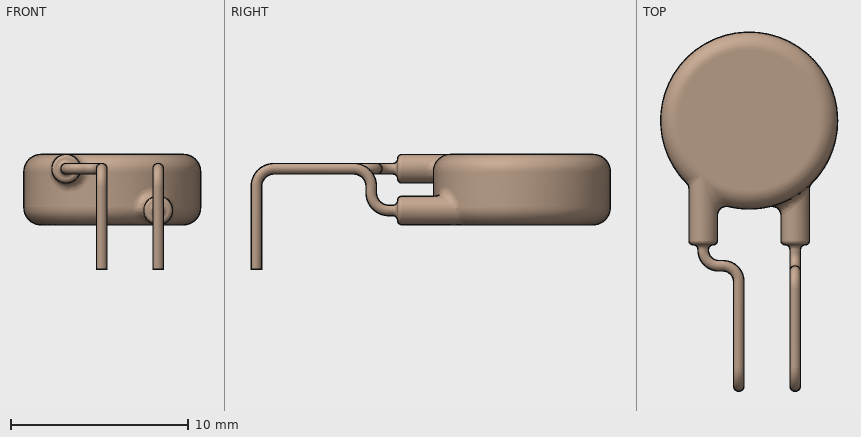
import cadquery as cq
import math

disc_diameter = 10.0
disc_height = 4.0
disc_edge_round = 1.0

sleeve_radius = 0.81
sleeve_x = 2.6
sleeve_end_y = -7.02
sleeve_end_round = 0.25
junction_round = 0.5
sleeve_inset = 0.01
sleeve_reach = sleeve_radius + sleeve_inset
upper_z = disc_height - sleeve_radius - sleeve_inset
lower_z = sleeve_radius + sleeve_inset

wire_radius = 0.3
neck_round = sleeve_radius - sleeve_end_round - wire_radius
total_length = 20.3
tip_y = disc_diameter / 2 - total_length + wire_radius
tip_z = -2.5
lead_pitch = 3.19
jog_radius = 0.9
jog_start_y = -7.3
rise_radius = 1.0
rise_start_y = -7.51
foot_radius = 1.0


def make_disc():
    disc = cq.Workplane("XY").circle(disc_diameter / 2).extrude(disc_height)
    return disc.edges().fillet(disc_edge_round)


def add_sleeve(body, x, z):
    """Join a cylinder along -Y from the disc's mid plane, with a fillet where it leaves the disc."""
    seam = cq.Vector(0, 0, disc_height / 2 - z)
    plane = cq.Plane(origin=(x, 0, z), xDir=seam, normal=(0, -1, 0))
    length = -(sleeve_end_y + sleeve_end_round)
    sleeve = cq.Workplane(plane).circle(sleeve_radius).extrude(length)
    joined = body.union(sleeve)
    junction = cq.selectors.BoxSelector(
        (x - sleeve_reach, -disc_diameter / 2, z - sleeve_reach),
        (x + sleeve_reach, -disc_diameter / 4, z + sleeve_reach),
        boundingbox=True,
    )
    return joined.edges(junction).edges("%BSPLINE").fillet(junction_round)


def make_sleeve_tip(x, z):
    """Rounded sleeve end that flares down to the wire, revolved about the lead axis."""
    diagonal = math.sqrt(0.5)
    round_y = sleeve_end_y + sleeve_end_round
    shoulder_radius = sleeve_radius - sleeve_end_round
    neck_y = sleeve_end_y - neck_round
    round_mid = (
        shoulder_radius + sleeve_end_round * diagonal,
        round_y - sleeve_end_round * diagonal,
    )
    neck_mid = (
        shoulder_radius - neck_round * diagonal,
        neck_y + neck_round * diagonal,
    )
    profile = (
        cq.Workplane("XY")
        .moveTo(0, round_y)
        .lineTo(sleeve_radius, round_y)
        .threePointArc(round_mid, (shoulder_radius, sleeve_end_y))
        .threePointArc(neck_mid, (wire_radius, neck_y))
        .lineTo(0, neck_y)
        .close()
    )
    return profile.revolve(360, (0, 0, 0), (0, 1, 0)).translate((x, 0, z))


def bent_wire(corners, radii):
    """Round wire through the corner points, with each inner corner bent to its radius."""
    points = [cq.Vector(*corner) for corner in corners]
    edges = []
    start = points[0]
    for before, corner, after, radius in zip(points, points[1:], points[2:], radii):
        into = (corner - before).normalized()
        out = (after - corner).normalized()
        bend_start = corner - into * radius
        bend_end = corner + out * radius
        middle = corner + (out - into) * (radius * (1 - math.sqrt(0.5)))
        edges.append(cq.Edge.makeLine(start, bend_start))
        edges.append(cq.Edge.makeThreePointArc(bend_start, middle, bend_end))
        start = bend_end
    edges.append(cq.Edge.makeLine(start, points[-1]))
    path = cq.Workplane(cq.Wire.assembleEdges(edges))
    section = cq.Plane(origin=corners[0], xDir=(1, 0, 0), normal=(0, -1, 0))
    return cq.Workplane(section).circle(wire_radius).sweep(path)


def make_jogged_lead():
    """Upper lead: steps sideways toward the other lead, then turns down."""
    jog_y = jog_start_y - jog_radius
    foot_x = sleeve_x - lead_pitch
    corners = [
        (-sleeve_x, sleeve_end_y + sleeve_end_round, upper_z),
        (-sleeve_x, jog_y, upper_z),
        (foot_x, jog_y, upper_z),
        (foot_x, tip_y, upper_z),
        (foot_x, tip_y, tip_z),
    ]
    return bent_wire(corners, [jog_radius, jog_radius, foot_radius])


def make_raised_lead():
    """Lower lead: climbs to the level of the upper lead, then turns down."""
    rise_y = rise_start_y - rise_radius
    corners = [
        (sleeve_x, sleeve_end_y + sleeve_end_round, lower_z),
        (sleeve_x, rise_y, lower_z),
        (sleeve_x, rise_y, upper_z),
        (sleeve_x, tip_y, upper_z),
        (sleeve_x, tip_y, tip_z),
    ]
    return bent_wire(corners, [rise_radius, rise_radius, foot_radius])


result = make_disc()
for x, z in ((-sleeve_x, upper_z), (sleeve_x, lower_z)):
    result = add_sleeve(result, x, z)
    result = result.union(make_sleeve_tip(x, z))
result = result.union(make_jogged_lead()).union(make_raised_lead())